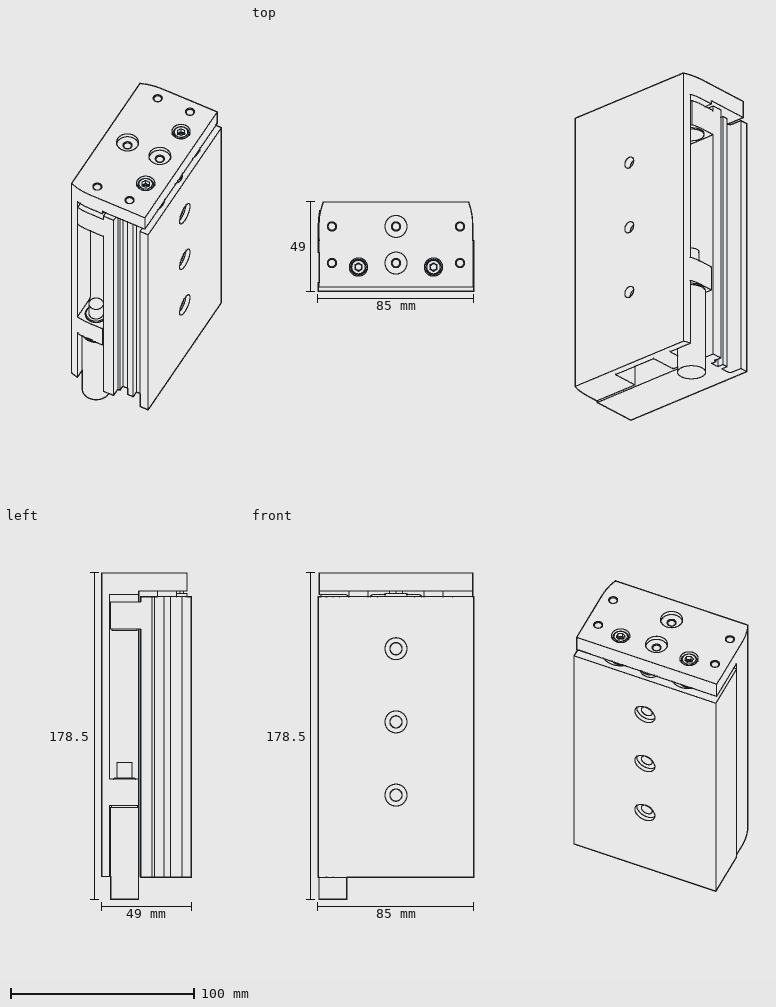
import cadquery as cq
import math


HOUSING_WIDTH = 85.0
HOUSING_LENGTH = 153.5
HOUSING_DEPTH = 27.7

FIRST_GROOVE_START = 5.0
RIB_START = 11.5
RIB_END = 15.0
STEP_START = 20.0
STEP_END = 21.4
RIB_INSET = 4.2
STEP_INSET = 4.8
GROOVE_FLOOR = 8.0
GROOVE_FILLET = 1.5

MOUNT_HOLE_DIAMETER = 6.5
MOUNT_BORE_DIAMETER = 12.0
MOUNT_BORE_DEPTH = 2.5
MOUNT_HOLE_FIRST = 45.0
MOUNT_HOLE_PITCH = 40.0
MOUNT_HOLE_COUNT = 3

TABLE_WIDTH = 84.0
TABLE_BACK = 49.0
TABLE_BOTTOM = 0.5
TABLE_TOP = 166.5
END_PLATE_FRONT = 2.3
END_PLATE_THICKNESS = 10.0
STEPPED_THICKNESS = 12.0
STEP_FRONT = 28.6
BACK_PLATE_THICKNESS = 4.4
SIDE_ARC_START = 36.5
BACK_CORNER_INSET = 2.3
GUIDE_CHANNEL_HALF_WIDTH = 14.0
ABSORBER_CHANNEL_EDGE = -26.0
CHANNEL_FILLET = 1.5

HOLDER_BOTTOM = 39.4
HOLDER_TOP = 53.7

LUG_BOTTOM = 135.7
LUG_TOP = 150.6
LUG_CLEARANCE = 0.5
PAD_DIAMETER = 13.7
PAD_HEIGHT = 0.8

TAP_DIAMETER = 4.13
TAP_MOUTH = 5.0
TAP_DEPTH = 8.0
TAP_ROWS = (15.5, 35.5)
SIDE_TAP_X = 35.0
LOCATING_BORE_DIAMETER = 12.0
LOCATING_BORE_DEPTH = 2.5

ROD_X = 20.5
ROD_Y = 13.3
ROD_DIAMETER = 10.5
ROD_INSERTION = 10.0
ROD_RECESS_DIAMETER = 21.0
ROD_RECESS_DEPTH = 5.0
SHANK_DIAMETER = 5.6
HEAD_DIAMETER = 8.57
HEAD_HEIGHT = 5.0
HEAD_CHAMFER = 0.6
HEAD_RECESS = 0.5
HEAD_BORE_DIAMETER = 10.0
SOCKET_FLATS = 4.0
SOCKET_DEPTH = 2.5
SOCKET_DRILL_DIAMETER = 3.5
SOCKET_DRILL_DEPTH = 3.5

ABSORBER_X = -34.5
ABSORBER_Y = 36.5
ABSORBER_DIAMETER = 15.3
ABSORBER_BOTTOM = -12.0
ABSORBER_SHOULDER = 38.3
NECK_DIAMETER = 14.0
THREAD_DIAMETER = 12.0
THREAD_PROJECTION = 0.6
THREAD_CHAMFER = 0.5
PIN_DIAMETER = 8.0
PIN_TOP = 62.7

BUMPER_Y = 8.3
BUMPER_DIAMETER = 12.0
BUMPER_FLANGE_HEIGHT = 1.8
BUMPER_HEX_FLATS = 7.0

HALF_HOUSING = HOUSING_WIDTH / 2
HALF_TABLE = TABLE_WIDTH / 2
BACK_PLATE_FRONT = TABLE_BACK - BACK_PLATE_THICKNESS
END_PLATE_BOTTOM = TABLE_TOP - END_PLATE_THICKNESS
STEP_BOTTOM = TABLE_TOP - STEPPED_THICKNESS
TAP_FLOOR = TABLE_TOP - TAP_DEPTH
HEAD_TOP = TABLE_TOP - HEAD_RECESS
HEAD_SEAT = HEAD_TOP - HEAD_HEIGHT
ROD_BOTTOM = HOUSING_LENGTH - ROD_INSERTION
ROD_POINTS = [(-ROD_X, ROD_Y), (ROD_X, ROD_Y)]
LUG_BACK = BACK_PLATE_FRONT - LUG_CLEARANCE
LUG_INNER_EDGE = ABSORBER_CHANNEL_EDGE - LUG_CLEARANCE

ARC_RUN = TABLE_BACK - SIDE_ARC_START
ARC_RADIUS = (ARC_RUN**2 + BACK_CORNER_INSET**2) / (2 * BACK_CORNER_INSET)
ARC_MIDDLE_RUN = ARC_RUN / 2
ARC_MIDDLE_INSET = ARC_RADIUS - math.sqrt(ARC_RADIUS**2 - ARC_MIDDLE_RUN**2)


def box(x_limits, y_limits, z_limits):
    """A box between pairs of limits along the three axes."""
    sizes = [high - low for low, high in (x_limits, y_limits, z_limits)]
    corner = (x_limits[0], y_limits[0], z_limits[0])
    return cq.Workplane("XY").box(*sizes, centered=False).translate(corner)


def cylinder(center, diameter, bottom, top):
    """An upright cylinder about an (x, y) center."""
    base = cq.Workplane("XY").workplane(offset=bottom).center(*center)
    return base.circle(diameter / 2).extrude(top - bottom)


def hexagon(center, flats, bottom, top):
    """An upright hexagonal prism with two corners toward +Y and -Y."""
    across_corners = flats / math.cos(math.pi / 6)
    base = cq.Workplane("XY").workplane(offset=bottom).center(*center)
    outline = base.transformed(rotate=(0, 0, 90)).polygon(6, across_corners)
    return outline.extrude(top - bottom)


def tapped_hole(center, mouth, bottom):
    """A hole with a chamfered mouth, as a solid to be cut away."""
    chamfer = (TAP_MOUTH - TAP_DIAMETER) / 2
    hole = cylinder(center, TAP_DIAMETER, bottom, mouth)
    countersink = cylinder(center, TAP_MOUTH, mouth - chamfer, mouth).faces("<Z").chamfer(chamfer * 0.999)
    return hole.union(countersink)


def mounting_holes(depth):
    """Straight holes from the front face to the given depth."""
    heights = [MOUNT_HOLE_FIRST + i * MOUNT_HOLE_PITCH for i in range(MOUNT_HOLE_COUNT)]
    points = [(0, height) for height in heights]
    return cq.Workplane("XZ").pushPoints(points).circle(MOUNT_HOLE_DIAMETER / 2).extrude(-depth)


def mounting_bores():
    """Counterbores of the mounting holes in the front face."""
    heights = [MOUNT_HOLE_FIRST + i * MOUNT_HOLE_PITCH for i in range(MOUNT_HOLE_COUNT)]
    points = [(0, height) for height in heights]
    return cq.Workplane("XZ").pushPoints(points).circle(MOUNT_BORE_DIAMETER / 2).extrude(-MOUNT_BORE_DEPTH)


def rounded_sides(half_width, bottom, top):
    """A full-depth block whose sides curve inward toward the back corners."""
    corner_x = half_width - BACK_CORNER_INSET
    middle_x = half_width - ARC_MIDDLE_INSET
    middle_y = SIDE_ARC_START + ARC_MIDDLE_RUN
    outline = (
        cq.Workplane("XY")
        .workplane(offset=bottom)
        .moveTo(-half_width, END_PLATE_FRONT)
        .lineTo(half_width, END_PLATE_FRONT)
        .lineTo(half_width, SIDE_ARC_START)
        .threePointArc((middle_x, middle_y), (corner_x, TABLE_BACK))
        .lineTo(-corner_x, TABLE_BACK)
        .threePointArc((-middle_x, middle_y), (-half_width, SIDE_ARC_START))
        .close()
    )
    return outline.extrude(top - bottom)


def housing_profile():
    """The extruded section with a grooved -X side."""
    side = -HALF_HOUSING
    floor = side + GROOVE_FLOOR
    rib = side + RIB_INSET
    step = side + STEP_INSET
    arc_shift = GROOVE_FILLET * (1 - math.sqrt(0.5))
    return (
        cq.Workplane("XY")
        .moveTo(side, 0)
        .lineTo(HALF_HOUSING, 0)
        .lineTo(HALF_HOUSING, HOUSING_DEPTH)
        .lineTo(side, HOUSING_DEPTH)
        .lineTo(side, STEP_END)
        .lineTo(step, STEP_END)
        .lineTo(step, STEP_START)
        .lineTo(floor, STEP_START)
        .lineTo(floor, RIB_END)
        .lineTo(rib, RIB_END)
        .lineTo(rib, RIB_START)
        .lineTo(floor, RIB_START)
        .lineTo(floor, FIRST_GROOVE_START + GROOVE_FILLET)
        .threePointArc(
            (floor - arc_shift, FIRST_GROOVE_START + arc_shift),
            (floor - GROOVE_FILLET, FIRST_GROOVE_START),
        )
        .lineTo(side, FIRST_GROOVE_START)
        .close()
        .extrude(HOUSING_LENGTH)
    )


def stop_lug():
    """The lug behind the housing, with a round pad on its underside."""
    lug = rounded_sides(HALF_HOUSING, LUG_BOTTOM, LUG_TOP)
    lug = lug.intersect(
        box((-HALF_HOUSING, LUG_INNER_EDGE), (HOUSING_DEPTH, LUG_BACK), (LUG_BOTTOM, LUG_TOP))
    )
    pad = cylinder((ABSORBER_X, ABSORBER_Y), PAD_DIAMETER, LUG_BOTTOM - PAD_HEIGHT, LUG_BOTTOM)
    return lug.union(pad)


def make_housing():
    housing = housing_profile().union(stop_lug())
    housing = housing.cut(mounting_holes(HOUSING_DEPTH)).cut(mounting_bores())
    for point in ROD_POINTS:
        housing = housing.cut(cylinder(point, ROD_DIAMETER, ROD_BOTTOM, HOUSING_LENGTH))
        recess_floor = HOUSING_LENGTH - ROD_RECESS_DEPTH
        housing = housing.cut(cylinder(point, ROD_RECESS_DIAMETER, recess_floor, HOUSING_LENGTH))
    return housing


def absorber_channel():
    """The space beside the table wall, above and below the absorber holder."""
    x_limits = (-HALF_HOUSING, ABSORBER_CHANNEL_EDGE)
    y_limits = (STEP_FRONT, BACK_PLATE_FRONT)
    upper = box(x_limits, y_limits, (HOLDER_TOP, STEP_BOTTOM))
    upper = upper.edges("|Y and >X").fillet(CHANNEL_FILLET)
    lower = box(x_limits, y_limits, (TABLE_BOTTOM, HOLDER_BOTTOM))
    return upper.union(lower)


def guide_channel():
    """The channel along the middle of the table, open at the bottom."""
    channel = box(
        (-GUIDE_CHANNEL_HALF_WIDTH, GUIDE_CHANNEL_HALF_WIDTH),
        (STEP_FRONT, BACK_PLATE_FRONT),
        (TABLE_BOTTOM, STEP_BOTTOM),
    )
    return channel.edges("|Y and >Z").fillet(CHANNEL_FILLET)


def make_table():
    table = rounded_sides(HALF_TABLE, TABLE_BOTTOM, TABLE_TOP)
    in_front = (END_PLATE_FRONT, STEP_FRONT)
    table = table.cut(box((-HALF_TABLE, HALF_TABLE), in_front, (TABLE_BOTTOM, END_PLATE_BOTTOM)))
    table = table.cut(absorber_channel()).cut(guide_channel())
    table = table.cut(mounting_holes(TABLE_BACK))

    for row in TAP_ROWS:
        for side in (-1, 1):
            table = table.cut(tapped_hole((side * SIDE_TAP_X, row), TABLE_TOP, TAP_FLOOR))
        bore_floor = TABLE_TOP - LOCATING_BORE_DEPTH
        table = table.cut(cylinder((0, row), LOCATING_BORE_DIAMETER, bore_floor, TABLE_TOP))
        table = table.cut(tapped_hole((0, row), bore_floor, TAP_FLOOR))

    for point in ROD_POINTS:
        table = table.cut(cylinder(point, SHANK_DIAMETER, END_PLATE_BOTTOM, HEAD_SEAT))
        table = table.cut(cylinder(point, HEAD_BORE_DIAMETER, HEAD_SEAT, TABLE_TOP))

    absorber_center = (ABSORBER_X, ABSORBER_Y)
    return table.cut(cylinder(absorber_center, THREAD_DIAMETER, HOLDER_BOTTOM, HOLDER_TOP))


def make_rod(center):
    """A rod whose screw end passes through the end plate."""
    rod = cylinder(center, ROD_DIAMETER, ROD_BOTTOM, END_PLATE_BOTTOM)
    shank = cylinder(center, SHANK_DIAMETER, END_PLATE_BOTTOM, HEAD_SEAT)
    head = cylinder(center, HEAD_DIAMETER, HEAD_SEAT, HEAD_TOP).faces(">Z").chamfer(HEAD_CHAMFER)
    socket = hexagon(center, SOCKET_FLATS, HEAD_TOP - SOCKET_DEPTH, HEAD_TOP)
    drill = cylinder(center, SOCKET_DRILL_DIAMETER, HEAD_TOP - SOCKET_DRILL_DEPTH, HEAD_TOP)
    return rod.union(shank).union(head).cut(socket).cut(drill)


def make_absorber():
    center = (ABSORBER_X, ABSORBER_Y)
    thread_top = HOLDER_TOP + THREAD_PROJECTION
    body = cylinder(center, ABSORBER_DIAMETER, ABSORBER_BOTTOM, ABSORBER_SHOULDER)
    neck = cylinder(center, NECK_DIAMETER, ABSORBER_SHOULDER, HOLDER_BOTTOM)
    thread = cylinder(center, THREAD_DIAMETER, HOLDER_BOTTOM, thread_top)
    thread = thread.faces(">Z").chamfer(THREAD_CHAMFER)
    pin = cylinder(center, PIN_DIAMETER, thread_top, PIN_TOP)
    return body.union(neck).union(thread).union(pin)


def make_bumper():
    """A round flange on the housing with a hexagon up to the end plate."""
    center = (0, BUMPER_Y)
    flange_top = HOUSING_LENGTH + BUMPER_FLANGE_HEIGHT
    flange = cylinder(center, BUMPER_DIAMETER, HOUSING_LENGTH, flange_top)
    return flange.union(hexagon(center, BUMPER_HEX_FLATS, flange_top, END_PLATE_BOTTOM))


housing = make_housing()
table = make_table()
rods = [make_rod(point) for point in ROD_POINTS]
absorber = make_absorber()
bumper = make_bumper()

result = cq.Compound.makeCompound(
    [housing.val(), table.val(), *[rod.val() for rod in rods], absorber.val(), bumper.val()]
)